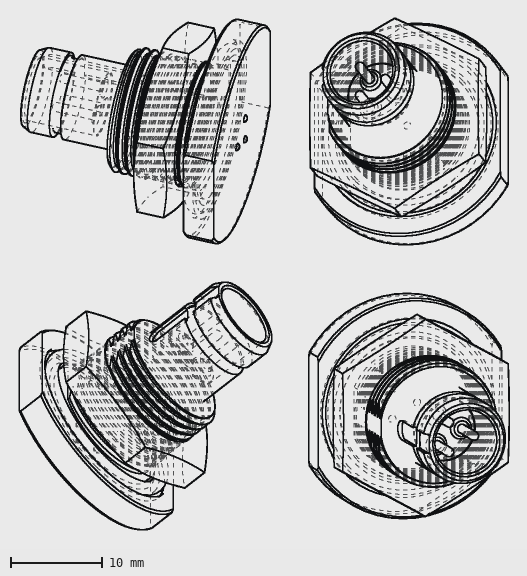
import cadquery as cq
import math

shell_length = 24.0
pin_overhang = 0.28

nose_radius = 4.75
nose_chamfer_length = 0.9
nose_chamfer_depth = 0.45
groove_start = 3.42
groove_end = 4.69
groove_floor_radius = 4.2
groove_fillet = 0.23
base_fillet = 0.4

keyway_floor = 4.25
keyway_width = 2.1
keyway_end_centre = 8.83

socket_radius = 3.55
mouth_chamfer_depth = 0.3
mouth_chamfer_length = 0.2
socket_depth = 8.0
insulator_chamfer = 0.1

barrel_start = 10.55
thread_radius = 7.0
thread_pitch = 1.0
thread_depth = 0.5
thread_root_width = 0.25
thread_flank_angle = 30.0
thread_start = 10.15
thread_turns = 9.75
flat_offset = 6.42

nut_start = 14.4
nut_length = 4.0
nut_across_flats = 19.0
nut_chamfer_radius = 9.1
nut_chamfer_angle = 15.0
nut_bore_radius = 6.87
nut_bore_chamfer = 0.15

flange_radius = 12.25
flange_thickness = 3.5
flange_width = 21.0
flange_chamfer = 0.25

seal_protrusion = 0.5
seal_tube_radius = 0.75
seal_ring_radius = 8.8
seat_depth = 0.9
seat_outer_radius = 9.99
seat_inner_radius = 7.75
seat_lip_fillet = 0.25

pin_count = 3
pin_circle_radius = 1.9
first_pin_angle = 60.0
pin_radius = 0.5
pin_tip_fillet = 0.28
pin_tip_x = 2.93
pin_tail_radius = 0.44
boss_base_radius = 1.2
boss_top_radius = 0.87
boss_height = 0.33

flange_face = shell_length - flange_thickness


def revolve_profile(profile):
    """Turn a closed (x, radius) profile about the X axis."""
    return profile.close().revolve(360, (0, 0, 0), (1, 0, 0))


def cylinder_x(radius, start, end):
    return cq.Workplane("YZ").workplane(offset=start).circle(radius).extrude(end - start)


def make_nose():
    outer = revolve_profile(
        cq.Workplane("XY")
        .lineTo(0, nose_radius - nose_chamfer_depth)
        .lineTo(nose_chamfer_length, nose_radius)
        .lineTo(groove_start, nose_radius)
        .lineTo(groove_start, groove_floor_radius + groove_fillet)
        .radiusArc((groove_start + groove_fillet, groove_floor_radius), -groove_fillet)
        .lineTo(groove_end - groove_fillet, groove_floor_radius)
        .radiusArc((groove_end, groove_floor_radius + groove_fillet), -groove_fillet)
        .lineTo(groove_end, nose_radius)
        .lineTo(barrel_start - base_fillet, nose_radius)
        .radiusArc((barrel_start, nose_radius + base_fillet), -base_fillet)
        .lineTo(barrel_start, 0)
    )
    socket = revolve_profile(
        cq.Workplane("XY")
        .lineTo(0, socket_radius + mouth_chamfer_depth)
        .lineTo(mouth_chamfer_length, socket_radius)
        .lineTo(socket_depth + insulator_chamfer, socket_radius)
        .lineTo(socket_depth, socket_radius - insulator_chamfer)
        .lineTo(socket_depth, 0)
    )
    return outer.cut(socket).cut(make_keyway_cutter())


def make_keyway_cutter():
    end_radius = keyway_width / 2
    return (
        cq.Workplane("XZ")
        .workplane(offset=-keyway_floor)
        .moveTo(0, -end_radius)
        .lineTo(keyway_end_centre, -end_radius)
        .radiusArc((keyway_end_centre, end_radius), -end_radius)
        .lineTo(0, end_radius)
        .close()
        .extrude(keyway_floor - nose_radius)
    )


def make_thread_cutter():
    """Helical V-groove that starts on the +Z side and advances right-handed along +X."""
    flank_slope = math.tan(math.radians(thread_flank_angle))
    clearance = 0.1
    root_radius = thread_radius - thread_depth
    root_half = thread_root_width / 2
    mouth_half = root_half + (thread_depth + clearance) * flank_slope
    helix = cq.Wire.makeHelix(thread_pitch, thread_turns * thread_pitch, root_radius)
    cutter = (
        cq.Workplane("XZ")
        .moveTo(root_radius, -root_half)
        .lineTo(thread_radius + clearance, -mouth_half)
        .lineTo(thread_radius + clearance, mouth_half)
        .lineTo(root_radius, root_half)
        .close()
        .sweep(cq.Workplane(helix), isFrenet=True)
    )
    upright = cutter.rotate((0, 0, 0), (0, 1, 0), 90)
    return upright.rotate((0, 0, 0), (1, 0, 0), 180).translate((thread_start, 0, 0))


def make_barrel():
    barrel = cylinder_x(thread_radius, barrel_start, flange_face + seat_depth)
    barrel = barrel.faces("<X").chamfer(thread_depth)
    barrel = barrel.cut(make_thread_cutter())
    keep = cq.Workplane("XY").box(
        shell_length, thread_radius + flat_offset, 2 * thread_radius, centered=(False, False, True)
    )
    return barrel.intersect(keep.translate((barrel_start, -thread_radius, 0)))


def make_nut():
    corner_radius = nut_across_flats / math.sqrt(3)
    chamfer_length = (corner_radius - nut_chamfer_radius) * math.tan(math.radians(nut_chamfer_angle))
    nut_end = nut_start + nut_length
    hexagon = (
        cq.Workplane("YZ")
        .workplane(offset=nut_start)
        .polygon(6, 2 * corner_radius)
        .extrude(nut_length)
        .rotate((0, 0, 0), (1, 0, 0), 90)
    )
    turned_blank = revolve_profile(
        cq.Workplane("XY")
        .moveTo(nut_start, nut_bore_radius + nut_bore_chamfer)
        .lineTo(nut_start, nut_chamfer_radius)
        .lineTo(nut_start + chamfer_length, corner_radius)
        .lineTo(nut_end - chamfer_length, corner_radius)
        .lineTo(nut_end, nut_chamfer_radius)
        .lineTo(nut_end, nut_bore_radius + nut_bore_chamfer)
        .lineTo(nut_end - nut_bore_chamfer, nut_bore_radius)
        .lineTo(nut_start + nut_bore_chamfer, nut_bore_radius)
    )
    return hexagon.intersect(turned_blank)


def make_flange():
    disc = cylinder_x(flange_radius, flange_face, shell_length).edges().chamfer(flange_chamfer)
    slab = cq.Workplane("XY").box(2 * shell_length, flange_width, 2 * flange_radius)
    seat_floor = flange_face + seat_depth
    seat = revolve_profile(
        cq.Workplane("XY")
        .moveTo(flange_face, seat_inner_radius - seat_lip_fillet)
        .lineTo(flange_face, seat_outer_radius + seat_lip_fillet)
        .radiusArc((flange_face + seat_lip_fillet, seat_outer_radius), -seat_lip_fillet)
        .lineTo(seat_floor, seat_outer_radius)
        .lineTo(seat_floor, seat_inner_radius)
        .lineTo(flange_face + seat_lip_fillet, seat_inner_radius)
        .radiusArc((flange_face, seat_inner_radius - seat_lip_fillet), -seat_lip_fillet)
    )
    seal_centre_x = flange_face - seal_protrusion + seal_tube_radius
    seal = (
        cq.Workplane("XY")
        .center(seal_centre_x, seal_ring_radius)
        .circle(seal_tube_radius)
        .revolve(360, (0, -seal_ring_radius, 0), (1, -seal_ring_radius, 0))
    )
    return disc.intersect(slab).cut(seat).union(seal)


def make_contact(angle):
    """One pin with a rounded tip, an insulator boss round its foot and a domed tail."""
    boss_top = socket_depth - boss_height
    tail_end = shell_length + pin_overhang
    contact = revolve_profile(
        cq.Workplane("XY")
        .moveTo(pin_tip_x, 0)
        .lineTo(pin_tip_x, pin_radius - pin_tip_fillet)
        .radiusArc((pin_tip_x + pin_tip_fillet, pin_radius), pin_tip_fillet)
        .lineTo(boss_top, pin_radius)
        .lineTo(boss_top, boss_top_radius)
        .lineTo(socket_depth, boss_base_radius)
        .lineTo(socket_depth, pin_tail_radius)
        .lineTo(tail_end - pin_tail_radius, pin_tail_radius)
        .radiusArc((tail_end, 0), pin_tail_radius)
    )
    return contact.translate((0, pin_circle_radius, 0)).rotate((0, 0, 0), (1, 0, 0), angle)


result = make_nose().union(make_barrel()).union(make_flange()).union(make_nut())
for index in range(pin_count):
    result = result.union(make_contact(first_pin_angle + index * 360 / pin_count))